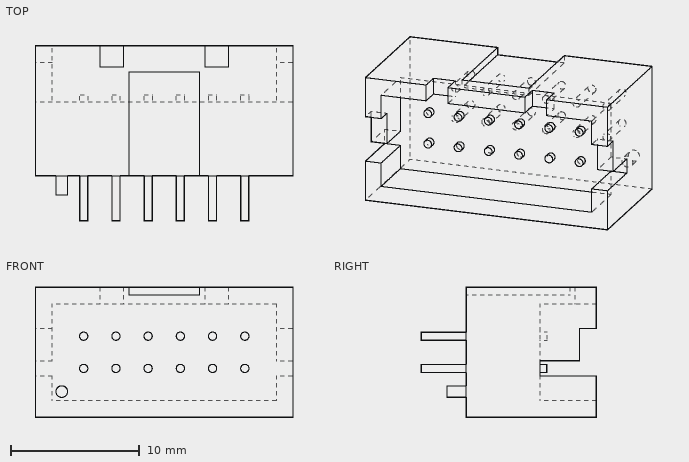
import cadquery as cq


HOUSING_WIDTH = 20.0
HOUSING_DEPTH = 10.1
HOUSING_HEIGHT = 10.1
WALL = 1.3

SLOT_HEIGHT = 3.66
SHALLOW_SLOT_DEPTH = 1.3
DEEP_SLOT_HEIGHT = 1.16
DEEP_SLOT_DEPTH = 4.37

CAVITY_DEPTH = DEEP_SLOT_DEPTH

NOTCH_WIDTH = 1.8
NOTCH_DEPTH = 1.67
NOTCH_SPACING = 8.16

RECESS_WIDTH = 5.5
RECESS_LENGTH = 8.05
RECESS_DEPTH = 0.6

PIN_COLUMNS = 6
PIN_ROWS = 2
PIN_PITCH = 2.5
PIN_DIAMETER = 0.64
TAIL_LENGTH = 3.5
PIN_TIP_BELOW_MOUTH = 3.84

PEG_DIAMETER = 0.9
PEG_LENGTH = 1.5
PEG_FROM_SIDE = 2.05
PEG_FROM_BOTTOM = 2.0

TOP = HOUSING_HEIGHT / 2
BOTTOM = -HOUSING_HEIGHT / 2
MOUTH = HOUSING_DEPTH


def block(width, depth, height, x_center, y_start, z_bottom):
    """Box centred on x_center that grows toward +Y and +Z."""
    box = cq.Workplane("XY").box(width, depth, height, centered=(True, False, False))
    return box.translate((x_center, y_start, z_bottom))


def rod(diameter, y_start, y_end, x, z):
    """Round rod along Y."""
    axis_start = cq.Vector(x, y_start, z)
    along_y = cq.Vector(0, 1, 0)
    return cq.Workplane(cq.Solid.makeCylinder(diameter / 2, y_end - y_start, axis_start, along_y))


def make_cavity():
    return block(
        HOUSING_WIDTH - 2 * WALL,
        CAVITY_DEPTH,
        HOUSING_HEIGHT - 2 * WALL,
        0,
        MOUTH - CAVITY_DEPTH,
        BOTTOM + WALL,
    )


def make_side_slots():
    """L-shaped slot through both side walls: shallow over its full height, deep at its foot."""
    slot_bottom = -SLOT_HEIGHT / 2
    shallow = block(
        HOUSING_WIDTH, SHALLOW_SLOT_DEPTH, SLOT_HEIGHT, 0, MOUTH - SHALLOW_SLOT_DEPTH, slot_bottom
    )
    deep = block(
        HOUSING_WIDTH, DEEP_SLOT_DEPTH, DEEP_SLOT_HEIGHT, 0, MOUTH - DEEP_SLOT_DEPTH, slot_bottom
    )
    return shallow.union(deep)


def make_latch_notch(x):
    return block(NOTCH_WIDTH, NOTCH_DEPTH, WALL, x, MOUTH - NOTCH_DEPTH, TOP - WALL)


def make_recess():
    return block(RECESS_WIDTH, RECESS_LENGTH, RECESS_DEPTH, 0, 0, TOP - RECESS_DEPTH)


def make_housing():
    housing = block(HOUSING_WIDTH, HOUSING_DEPTH, HOUSING_HEIGHT, 0, 0, BOTTOM)
    housing = housing.cut(make_cavity())
    housing = housing.cut(make_side_slots())
    housing = housing.cut(make_recess())
    for side in (-1, 1):
        housing = housing.cut(make_latch_notch(side * NOTCH_SPACING / 2))
    return housing


def add_pins(body):
    for column in range(PIN_COLUMNS):
        x = (column - (PIN_COLUMNS - 1) / 2) * PIN_PITCH
        for row in range(PIN_ROWS):
            z = (row - (PIN_ROWS - 1) / 2) * PIN_PITCH
            body = body.union(rod(PIN_DIAMETER, -TAIL_LENGTH, MOUTH - PIN_TIP_BELOW_MOUTH, x, z))
    return body


def add_peg(body):
    """Peg on the mounting face, rooted inside the solid base of the housing."""
    base_thickness = HOUSING_DEPTH - CAVITY_DEPTH
    x = -HOUSING_WIDTH / 2 + PEG_FROM_SIDE
    z = BOTTOM + PEG_FROM_BOTTOM
    return body.union(rod(PEG_DIAMETER, -PEG_LENGTH, base_thickness / 2, x, z))


result = add_peg(add_pins(make_housing()))